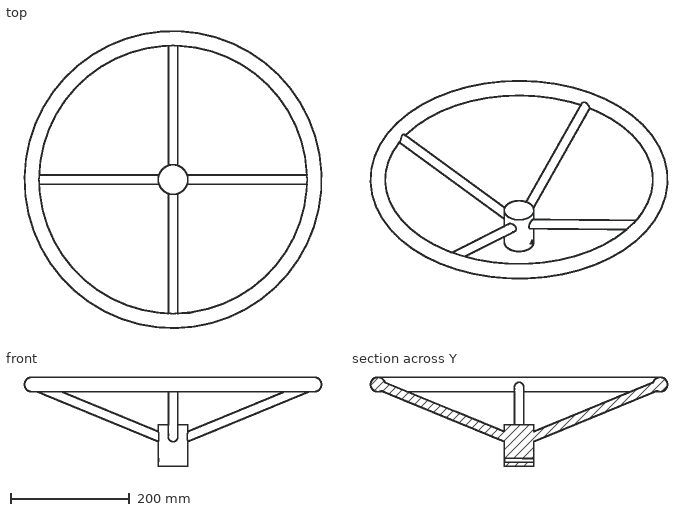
import cadquery as cq
import math

wheel_diameter = 500.0
wheel_height = 150.0

rim_bar_diameter = 25.0
rim_radius = (wheel_diameter - rim_bar_diameter) / 2
rim_height = wheel_height - rim_bar_diameter / 2

hub_diameter = 50.0
hub_height = 70.0
hub_radius = hub_diameter / 2

spoke_count = 4
spoke_pitch = 360 / spoke_count
spoke_diameter = 16.0
spoke_hub_height = 50.0

pin_hole_diameter = 6.0
pin_hole_height = 10.0


def make_rim():
    """Ring around the Z axis; its section is two half circles, split at top and bottom.

    The split keeps the joints with the spokes inside one face, and the start
    of the ring lies midway between two spokes.
    """
    bar_radius = rim_bar_diameter / 2
    bottom = (rim_radius, rim_height - bar_radius)
    top = (rim_radius, rim_height + bar_radius)
    ring = (
        cq.Workplane("XZ")
        .moveTo(*bottom)
        .threePointArc((rim_radius + bar_radius, rim_height), top)
        .threePointArc((rim_radius - bar_radius, rim_height), bottom)
        .close()
        .revolve(360, (0, 0), (0, 1), clean=False)
    )
    return ring.rotate((0, 0, 0), (0, 0, 1), spoke_pitch / 2)


def make_hub():
    return cq.Workplane("XY").circle(hub_radius).extrude(hub_height)


def make_spoke(angle):
    """Bar from the hub axis to the centre of the rim bar, turned about Z."""
    slope = (rim_height - spoke_hub_height) / (rim_radius - hub_radius)
    start_height = spoke_hub_height - slope * hub_radius
    rise = rim_height - start_height
    spoke_plane = cq.Plane(
        origin=(0, 0, start_height),
        xDir=(0, 1, 0),
        normal=(rim_radius, 0, rise),
    )
    length = math.hypot(rim_radius, rise)
    spoke = cq.Workplane(spoke_plane).circle(spoke_diameter / 2).extrude(length)
    return spoke.rotate((0, 0, 0), (0, 0, 1), angle)


def make_pin_hole():
    """Cutter passing right through the hub along X."""
    return (
        cq.Workplane("YZ")
        .center(0, pin_hole_height)
        .circle(pin_hole_diameter / 2)
        .extrude(hub_diameter, both=True)
    )


wheel = make_hub()
for index in range(spoke_count):
    wheel = wheel.union(make_spoke(index * spoke_pitch), clean=False)
wheel = wheel.union(make_rim(), clean=False)

result = wheel.cut(make_pin_hole(), clean=False)